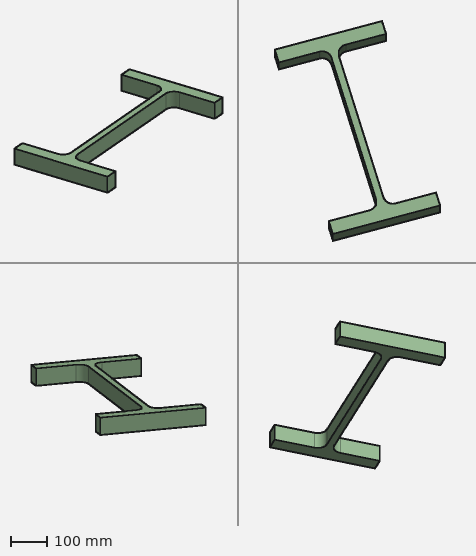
import cadquery as cq

section_depth = 572.0
flange_width = 306.0
flange_thickness = 40.0
web_thickness = 21.0
root_radius = 27.0
slice_length = 50.0


def make_flange(side):
    """Flange bar at the +Y (side=1) or -Y (side=-1) end of the section."""
    center_y = side * (section_depth - flange_thickness) / 2
    return (
        cq.Workplane("XY")
        .center(0, center_y)
        .rect(flange_width, flange_thickness)
        .extrude(slice_length)
    )


def make_web():
    """Thin web running the full depth of the section."""
    return cq.Workplane("XY").rect(web_thickness, section_depth).extrude(slice_length)


beam = make_web()
for side in (-1, 1):
    beam = beam.union(make_flange(side))

root_corners = cq.selectors.BoxSelector(
    (-web_thickness, -section_depth / 2 + flange_thickness / 2, 0),
    (web_thickness, section_depth / 2 - flange_thickness / 2, slice_length),
)
result = beam.edges("|Z").edges(root_corners).fillet(root_radius)